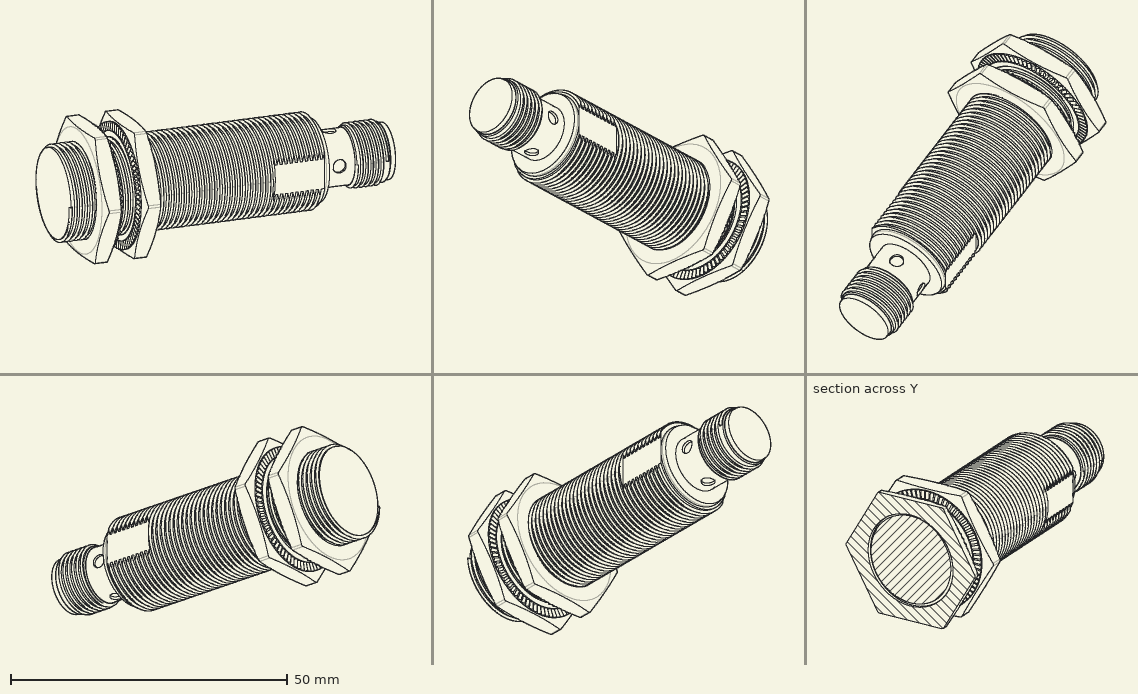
import cadquery as cq
import math

sensor_length = 64.7
thread_pitch = 0.995
ridge_height = 0.5
ridge_half_base = 0.3
ridge_embed = 0.05
core_seam_angle = 180

barrel_diameter = 17.95
barrel_core_diameter = barrel_diameter - 2 * ridge_height
barrel_turns = 50
barrel_end = barrel_turns * thread_pitch
flat_width = 15.9
flat_length = 10.0

collar_diameter = flat_width
collar_end = 50.75
collar_chamfer_length = 0.65
collar_chamfer_depth = 0.2
neck_diameter = 10.5

connector_start = 56.75
connector_end = 63.7
connector_diameter = 12.0
connector_core_diameter = 11.2
connector_chamfer = 0.65
connector_first_crest = connector_start + 0.25
connector_turns = 6
crest_margin = 0.05

window_count = 4
window_diameter = 2.55
window_depth = 0.5
window_y = 53.75

nut_width = 24.0
nut_hex_thickness = 3.5
nut_flange_thickness = 0.5
nut_thickness = nut_hex_thickness + nut_flange_thickness
nut_flange_diameter = 23.4
nut_corner_radius = 0.5
nut_face_diameter = 23.3
nut_chamfer_angle = 15
nut_gap = 3.1
front_nut_y = 4.75

serration_count = 72
serration_depth = 0.4
serration_inner_radius = 10.1


def rod(diameter, y_start, y_end):
    """Cylinder along the Y axis."""
    return cq.Workplane("XZ", origin=(0, y_start, 0)).circle(diameter / 2).extrude(y_start - y_end)


def threaded_rod(core_diameter, crest_diameter, core_start, core_end, first_crest, turns):
    """Core with a right-handed triangular ridge winding along +Y from the +X side, made turn by turn."""
    core_radius = core_diameter / 2
    base_radius = core_radius - ridge_embed
    helix = cq.Wire.makeHelix(thread_pitch, thread_pitch, core_radius)
    one_turn = (
        cq.Workplane("XZ")
        .polyline([
            (base_radius, -ridge_half_base),
            (crest_diameter / 2, 0),
            (base_radius, ridge_half_base),
        ])
        .close()
        .sweep(cq.Workplane(obj=helix), isFrenet=True)
        .rotate((0, 0, 0), (1, 0, 0), -90)
        .translate((0, first_crest, 0))
        .val()
    )
    ridge = [one_turn.translate(cq.Vector(0, turn * thread_pitch, 0)) for turn in range(turns)]
    core = rod(core_diameter, core_start, core_end).rotate((0, 0, 0), (0, 1, 0), core_seam_angle)
    return cq.Workplane(obj=core.val().fuse(*ridge))


def make_barrel():
    """Threaded barrel, with its thread run-out cut off square and a wrench flat on each side."""
    run_out_end = barrel_end + 2 * thread_pitch
    barrel = threaded_rod(barrel_core_diameter, barrel_diameter, 0, run_out_end, 0, barrel_turns)
    run_out = rod(2 * barrel_diameter, barrel_end, run_out_end + thread_pitch)
    flat_cutters = [
        cq.Workplane("XY", origin=(side * (flat_width + barrel_diameter) / 2, run_out_end, 0))
        .box(barrel_diameter, 2 * (run_out_end - barrel_end + flat_length), 2 * barrel_diameter)
        for side in (-1, 1)
    ]
    for cutter in (*flat_cutters, run_out):
        barrel = barrel.cut(cutter, clean=False)
    return barrel


def make_connector():
    """Threaded connector with both thread ends chamfered."""
    connector = threaded_rod(
        connector_core_diameter,
        connector_diameter,
        connector_start - thread_pitch,
        connector_end + thread_pitch,
        connector_first_crest,
        connector_turns,
    )
    envelope = (
        rod(connector_diameter + 2 * crest_margin, connector_start, connector_end)
        .edges()
        .chamfer(connector_chamfer + crest_margin)
    )
    return connector.intersect(envelope, clean=False)


def make_window_cutters():
    """Round plugs around the neck that end on a cylinder inside it."""
    floor = rod(neck_diameter - 2 * window_depth, connector_start, collar_end)
    plug = (
        cq.Workplane("XY", origin=(0, window_y, 0))
        .circle(window_diameter / 2)
        .extrude(neck_diameter)
        .cut(floor)
    )
    return [
        plug.rotate((0, 0, 0), (0, 1, 0), index * 360 / window_count) for index in range(window_count)
    ]


def make_sensor():
    neck = rod(neck_diameter, barrel_end, sensor_length)
    for cutter in make_window_cutters():
        neck = neck.cut(cutter)
    collar = (
        rod(collar_diameter, barrel_end, collar_end)
        .faces(">Y")
        .chamfer(collar_chamfer_length, collar_chamfer_depth)
    )
    return make_barrel().union(collar).union(neck).union(make_connector())


def make_serrations():
    """Radial V-grooves that open at the flange face and run in from its rim."""
    half_width = math.pi * nut_flange_diameter / serration_count / 2
    rim_radius = nut_flange_diameter / 2
    groove = (
        cq.Workplane("YZ", origin=(serration_inner_radius, 0, 0))
        .polyline([
            (nut_thickness, -half_width),
            (nut_thickness, half_width),
            (nut_thickness - serration_depth, 0),
        ])
        .close()
        .extrude(rim_radius)
    )
    step = 360 / serration_count
    return [
        groove.rotate((0, 0, 0), (0, 1, 0), (index + 0.5) * step).val()
        for index in range(serration_count)
    ]


def make_nut():
    """Nut with its plain face at Y = 0 and its serrated flange toward +Y."""
    corner_diameter = nut_width / math.cos(math.pi / 6)
    corner_radius = corner_diameter / 2
    face_radius = nut_face_diameter / 2
    chamfer_drop = (corner_radius - face_radius) * math.tan(math.radians(nut_chamfer_angle))
    hexagon = (
        cq.Workplane("XZ")
        .polygon(6, corner_diameter)
        .extrude(-nut_hex_thickness)
        .edges("|Y")
        .fillet(nut_corner_radius)
    )
    chamfer_envelope = (
        cq.Workplane("XY")
        .polyline([
            (0, 0),
            (face_radius, 0),
            (corner_radius, chamfer_drop),
            (corner_radius, nut_hex_thickness - chamfer_drop),
            (face_radius, nut_hex_thickness),
            (0, nut_hex_thickness),
        ])
        .close()
        .revolve(360, (0, 0, 0), (0, 1, 0))
    )
    flange = rod(nut_flange_diameter, nut_hex_thickness, nut_thickness)
    blank = hexagon.intersect(chamfer_envelope).union(flange)
    bored = blank.cut(rod(barrel_diameter, 0, nut_thickness))
    return cq.Workplane(obj=bored.val().cut(*make_serrations()))


sensor = make_sensor()

gap_middle = front_nut_y + nut_thickness + nut_gap / 2
front_nut = make_nut().translate((0, front_nut_y, 0))
nuts = [front_nut, front_nut.mirror("XZ", (0, gap_middle, 0))]

result = cq.Compound.makeCompound([sensor.val(), *[nut.val() for nut in nuts]])